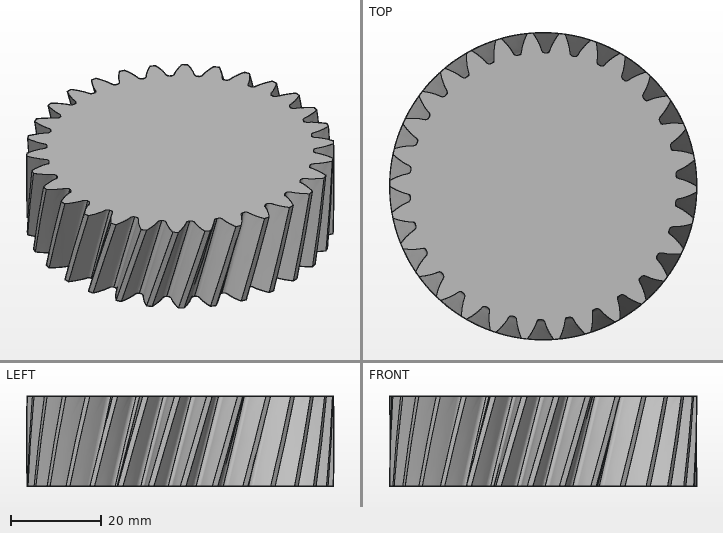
import cadquery as cq
import math

outer_diameter = 68.1
face_width = 20.0
tooth_count = 30
helix_angle = math.radians(15)
normal_pressure_angle = math.radians(20)
profile_shift = 0.5
addendum = 1.0
dedendum = 1.25
fillet_radius = 0.8
flank_steps = 5

module_count = tooth_count / math.cos(helix_angle) + 2 * (addendum + profile_shift)
normal_module = outer_diameter / module_count
pitch_radius = tooth_count * normal_module / math.cos(helix_angle) / 2
tip_radius = outer_diameter / 2
root_radius = pitch_radius - (dedendum - profile_shift) * normal_module

pressure_angle = math.atan(math.tan(normal_pressure_angle) / math.cos(helix_angle))
base_radius = pitch_radius * math.cos(pressure_angle)
tooth_pitch = 2 * math.pi / tooth_count
pitch_half_angle = (math.pi / 2 + 2 * profile_shift * math.tan(normal_pressure_angle)) / tooth_count
base_half_angle = pitch_half_angle + math.tan(pressure_angle) - pressure_angle

twist = face_width * math.tan(helix_angle) / pitch_radius
first_tooth_angle = math.pi / 2 - twist / 2


def tangent_length(radius):
    """Length of the tangent from the base circle out to a given radius."""
    return math.sqrt(radius**2 - base_radius**2)


def point_on_normal(roll_length, length):
    """Polar point (radius, angle from tooth centre) on a flank normal.

    The flank itself lies at length == roll_length; longer reaches into the gap.
    """
    angle = base_half_angle - roll_length / base_radius + math.atan(length / base_radius)
    return math.hypot(base_radius, length), angle


def xy(radius, angle):
    """Cartesian point from a polar one."""
    return radius * math.cos(angle), radius * math.sin(angle)


centre_length = tangent_length(root_radius + fillet_radius)
flank_start = centre_length - fillet_radius
flank_end = tangent_length(tip_radius)
fillet_centre_radius, fillet_centre_angle = point_on_normal(flank_start, centre_length)


def fillet_middle():
    """Polar point halfway along the root fillet."""
    centre_x, centre_y = xy(fillet_centre_radius, fillet_centre_angle)
    flank_x, flank_y = xy(*point_on_normal(flank_start, flank_start))
    to_root = fillet_centre_angle + math.pi
    to_flank = math.atan2(flank_y - centre_y, flank_x - centre_x)
    middle = to_root + math.remainder(to_flank - to_root, 2 * math.pi) / 2
    x = centre_x + fillet_radius * math.cos(middle)
    y = centre_y + fillet_radius * math.sin(middle)
    return math.hypot(x, y), math.atan2(y, x)


def flank_points():
    """Polar points along the involute from root fillet to tip."""
    lengths = [flank_start + (flank_end - flank_start) * i / flank_steps for i in range(flank_steps + 1)]
    return [point_on_normal(length, length) for length in lengths]


def tooth_side(points, centre, side):
    """Place polar points on one side (-1 clockwise, +1 counter-clockwise) of a tooth centre."""
    return [xy(radius, centre + side * angle) for radius, angle in points]


def add_tooth(outline, centre):
    """Continue the outline over one tooth and along the root to the next."""
    half_tooth = [(root_radius, fillet_centre_angle), fillet_middle()] + flank_points()
    _, rising_fillet, *rising_flank = tooth_side(half_tooth, centre, -1)
    root_start, falling_fillet, *falling_flank = tooth_side(half_tooth, centre, 1)
    root_middle = xy(root_radius, centre + tooth_pitch / 2)
    root_end = xy(root_radius, centre + tooth_pitch - fillet_centre_angle)
    return (
        outline.threePointArc(rising_fillet, rising_flank[0])
        .spline(rising_flank[1:], includeCurrent=True)
        .threePointArc(xy(tip_radius, centre), falling_flank[-1])
        .spline(falling_flank[-2::-1], includeCurrent=True)
        .threePointArc(falling_fillet, root_start)
        .threePointArc(root_middle, root_end)
    )


def gear_outline():
    """Closed transverse outline on the lower face."""
    outline = cq.Workplane("XY").workplane(offset=-face_width / 2)
    outline = outline.moveTo(*xy(root_radius, first_tooth_angle - fillet_centre_angle))
    for tooth in range(tooth_count):
        outline = add_tooth(outline, first_tooth_angle + tooth * tooth_pitch)
    return outline.close()


result = gear_outline().twistExtrude(face_width, math.degrees(twist))